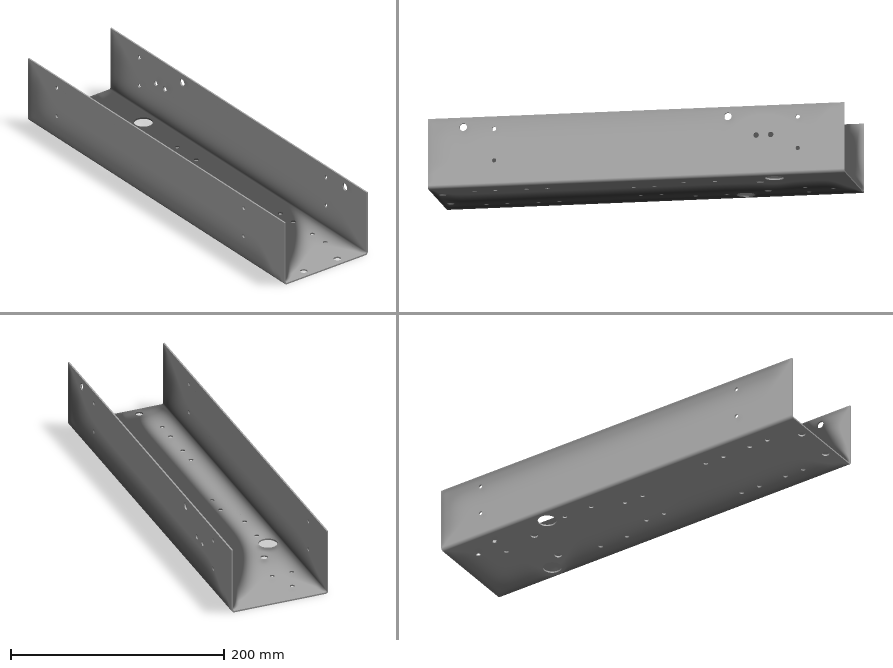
import cadquery as cq

LENGTH = 398.0
WIDTH = 98.5
HEIGHT = 67.0
THICKNESS = 1.5
INNER_BEND_RADIUS = 1.5
OUTER_BEND_RADIUS = INNER_BEND_RADIUS + THICKNESS

CABLE_DIAMETER = 18.0
MOUNT_DIAMETER = 7.0
SCREW_DIAMETER = 4.5
SMALL_SCREW_DIAMETER = 4.0
SIDE_SCREW_DIAMETER = 4.0
SWITCH_DIAMETER = 5.0

CABLE_HOLES = [(69.5, 34.0), (110.0, -34.0)]
MOUNT_XS = [86.0, 389.2]
MOUNT_Y = 20.0
SCREW_XS = [127.5, 157.2, 287.5, 307.3, 337.0, 357.0]
SCREW_Y = 30.0
SMALL_SCREW_XS = [187.5, 207.5]
SMALL_SCREW_Y = 18.0
TRIANGLE_CENTER_Y = -22.5
TRIANGLE_TIP_X = 24.3
TRIANGLE_BASE_X = 49.5
TRIANGLE_BASE_SPACING = 20.0

SIDE_SCREW_XS = [44.5, 334.7]
SIDE_SCREW_ZS = [24.5, 55.0]
REAR_MOUNT_XS = [111.5, 364.0]
REAR_MOUNT_Z = 57.7
SWITCH_XS = [70.5, 84.5]
SWITCH_Z = 38.5


def make_channel():
    """Bent sheet: a rounded outer block with its rounded interior removed."""
    outer = (
        cq.Workplane("XY")
        .box(LENGTH, WIDTH, HEIGHT, centered=(True, True, False))
        .edges("|X and <Z")
        .fillet(OUTER_BEND_RADIUS)
    )
    interior = (
        cq.Workplane("XY")
        .workplane(offset=THICKNESS)
        .box(LENGTH, WIDTH - 2 * THICKNESS, HEIGHT, centered=(True, True, False))
        .edges("|X and <Z")
        .fillet(INNER_BEND_RADIUS)
    )
    return outer.cut(interior)


def mirrored_rows(xs, y):
    """Points at each X on both sides of the centreline."""
    return [(x, side * y) for x in xs for side in (-1, 1)]


def drill_floor(body, points, diameter):
    drills = (
        cq.Workplane("XY")
        .center(-LENGTH / 2, 0)
        .pushPoints(points)
        .circle(diameter / 2)
        .extrude(THICKNESS)
    )
    return body.cut(drills)


def drill_wall(body, points, diameter, outer_y, depth):
    """Drill in the +Y direction, starting at outer_y."""
    drills = (
        cq.Workplane("XZ", origin=(-LENGTH / 2, outer_y, 0))
        .pushPoints(points)
        .circle(diameter / 2)
        .extrude(-depth)
    )
    return body.cut(drills)


result = make_channel()

half_base = TRIANGLE_BASE_SPACING / 2
triangle_holes = [
    (TRIANGLE_TIP_X, TRIANGLE_CENTER_Y),
    (TRIANGLE_BASE_X, TRIANGLE_CENTER_Y - half_base),
    (TRIANGLE_BASE_X, TRIANGLE_CENTER_Y + half_base),
]
result = drill_floor(result, CABLE_HOLES, CABLE_DIAMETER)
result = drill_floor(result, mirrored_rows(MOUNT_XS, MOUNT_Y), MOUNT_DIAMETER)
result = drill_floor(result, mirrored_rows(SCREW_XS, SCREW_Y), SCREW_DIAMETER)
result = drill_floor(result, mirrored_rows(SMALL_SCREW_XS, SMALL_SCREW_Y), SMALL_SCREW_DIAMETER)
result = drill_floor(result, triangle_holes, SCREW_DIAMETER)

side_screws = [(x, z) for x in SIDE_SCREW_XS for z in SIDE_SCREW_ZS]
result = drill_wall(result, side_screws, SIDE_SCREW_DIAMETER, -WIDTH / 2, WIDTH)

rear_inner_y = WIDTH / 2 - THICKNESS
rear_mounts = [(x, REAR_MOUNT_Z) for x in REAR_MOUNT_XS]
switches = [(x, SWITCH_Z) for x in SWITCH_XS]
result = drill_wall(result, rear_mounts, MOUNT_DIAMETER, rear_inner_y, THICKNESS)
result = drill_wall(result, switches, SWITCH_DIAMETER, rear_inner_y, THICKNESS)